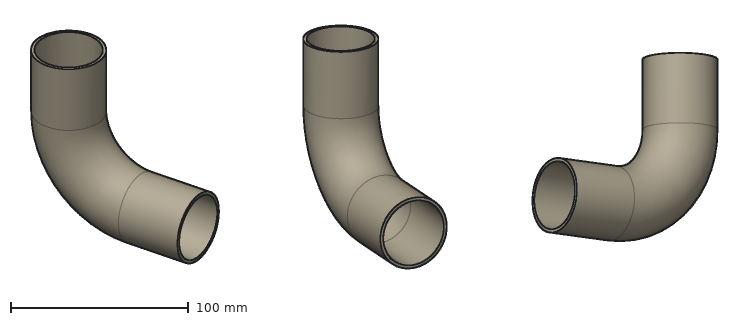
import cadquery as cq

overall_size = 108.7
outer_diameter = 42.4
wall = 2.0
leg_length = 40.0

outer_radius = outer_diameter / 2
inner_radius = outer_radius - wall
bend_radius = overall_size - leg_length - outer_radius


def pipe_ring(plane):
    """Annular pipe section centred on the given plane."""
    return cq.Workplane(plane).circle(outer_radius).circle(inner_radius)


upper_end = cq.Plane.XY(origin=(-bend_radius, 0, 0))
side_end = cq.Plane.YZ(origin=(0, 0, -bend_radius))

upper_leg = pipe_ring(upper_end).extrude(leg_length)
side_leg = pipe_ring(side_end).extrude(leg_length)

bend = pipe_ring(upper_end).revolve(90, (bend_radius, 0), (bend_radius, -1))

result = upper_leg.union(bend).union(side_leg)